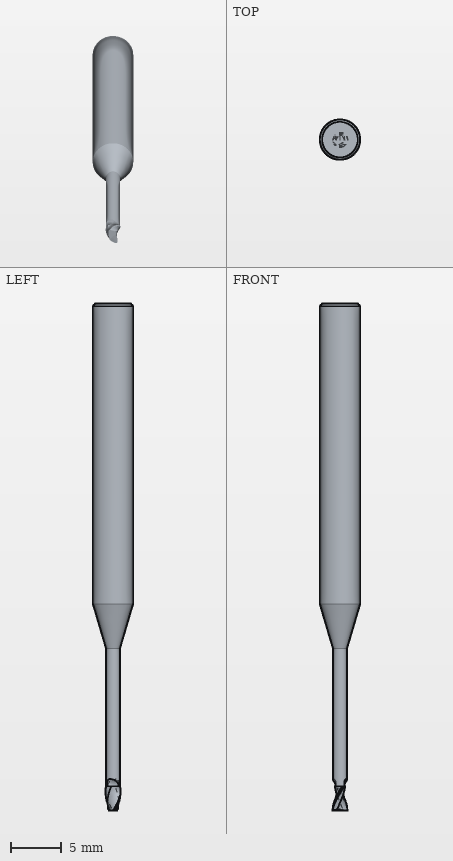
import cadquery as cq
import math

overall_length = 50.0
shank_radius = 2.0
shank_chamfer = 0.25
neck_radius = 0.7
neck_start_taper = 16.0
taper_half_angle = 16.5

cutter_radius = 0.75
cutter_length = 2.4
helix_angle = 30.0
core_radius = 0.38
land_angle = 15.0
heel_radius = 0.55
heel_angle = 55.0
core_angle = -70.0
dish_angle = 7.0
relief_angle = 10.0

runout_wheel_radius = 0.6
runout_depth_radius = 0.42
runout_rise = 0.15
runout_wheel_width = 4.0
runout_tilt = 18.0

tooth_count = 2
tooth_pitch = 360.0 / tooth_count


def polar(radius, degrees):
    angle = math.radians(degrees)
    return (radius * math.cos(angle), radius * math.sin(angle))


def around_axis(shape, index):
    return shape.rotate((0, 0, 0), (0, 0, 1), index * tooth_pitch)


def turned_blank():
    """Shank, taper and neck before the flutes run out into it."""
    taper_length = (shank_radius - neck_radius) / math.tan(math.radians(taper_half_angle))
    return (
        cq.Workplane("XZ")
        .moveTo(0, cutter_length)
        .lineTo(neck_radius, cutter_length)
        .lineTo(neck_radius, neck_start_taper)
        .lineTo(shank_radius, neck_start_taper + taper_length)
        .lineTo(shank_radius, overall_length - shank_chamfer)
        .lineTo(shank_radius - shank_chamfer, overall_length)
        .lineTo(0, overall_length)
        .close()
        .revolve(360, (0, 0, 0), (0, 1, 0))
    )


def runout_wheel():
    """Tilted cylinder that lets one flute climb out through the -X side of the neck."""
    wheel_center = (-runout_depth_radius - runout_wheel_radius, 0, cutter_length + runout_rise)
    return (
        cq.Workplane("XZ")
        .circle(runout_wheel_radius)
        .extrude(runout_wheel_width / 2, both=True)
        .rotate((0, 0, 0), (1, 0, 0), runout_tilt)
        .translate(wheel_center)
    )


def make_shank():
    shank = turned_blank()
    for index in range(tooth_count):
        shank = shank.cut(around_axis(runout_wheel(), index))
    return shank


def tooth_section():
    """Cross-section at the tip: a land, a sloping back and a flute for each tooth."""
    section = cq.Workplane("XY").moveTo(cutter_radius, 0)
    for index in range(tooth_count):
        edge = index * tooth_pitch
        next_edge = edge + tooth_pitch
        section = (
            section.threePointArc(
                polar(cutter_radius, edge + land_angle / 2),
                polar(cutter_radius, edge + land_angle),
            )
            .lineTo(*polar(heel_radius, edge + heel_angle))
            .threePointArc(
                polar(core_radius, next_edge + core_angle),
                polar(cutter_radius, next_edge),
            )
        )
    return section.close()


def end_relief():
    """Wedge under the +X tooth; its top slopes up behind the edge and towards the axis."""
    size = 4 * cutter_radius
    half_space = (
        cq.Workplane("XY")
        .box(2 * size, 2 * size, size, centered=(True, True, False))
        .translate((0, 0, -size))
        .rotate((0, 0, 0), (1, 0, 0), relief_angle)
        .rotate((0, 0, 0), (0, 1, 0), dish_angle)
        .translate((cutter_radius, 0, 0))
    )
    tooth_side = cq.Workplane("XY").box(size, 2 * size, 2 * size, centered=(False, True, True))
    return half_space.intersect(tooth_side)


def make_cutter():
    lead = 2 * math.pi * cutter_radius / math.tan(math.radians(helix_angle))
    twist = 360 * cutter_length / lead
    cutter = tooth_section().twistExtrude(cutter_length, twist)
    for index in range(tooth_count):
        cutter = cutter.cut(around_axis(end_relief(), index))
    return cutter


shank = make_shank()
cutter = make_cutter()
result = cq.Compound.makeCompound([shank.val(), cutter.val()])